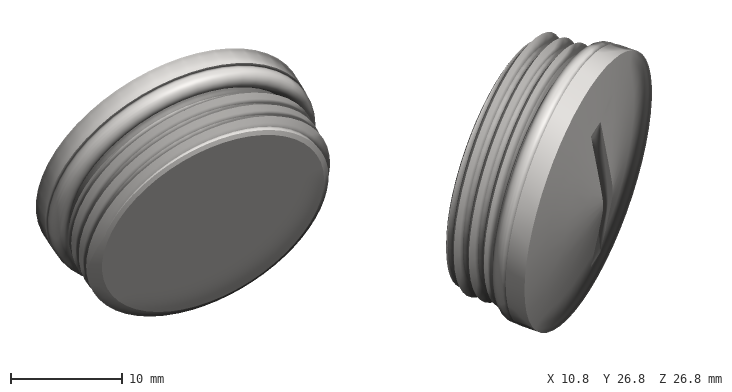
import cadquery as cq
import math

flange_diameter = 26.83
flange_radius = flange_diameter / 2
flange_thickness = 1.88
cone_height = 2.12
slot_width = 2.0
slot_half_length = 8.7
slot_floor_end_x = -0.75
slot_floor_middle_x = -0.35

neck_radius = 22.83 / 2
thread_start_x = 3.95
shank_end_x = 8.85
core_radius = 11.62
crest_radius = 12.48
thread_pitch = 1.5
flank_half_angle = 30.0
crest_at_plus_y_x = 4.48
lead_in_end_radius = 11.2
lead_in_angle = 65.0
helix_start_angle = 120.0
thread_root_embed = 0.1

ring_section_radius = 0.98
ring_right_x = 3.55
ring_center_x = ring_right_x - ring_section_radius
ring_center_radius = neck_radius + ring_section_radius


def revolve_about_x(points):
    """Revolve a closed (x, radius) outline around the X axis."""
    return cq.Workplane("XY").polyline(points).close().revolve(360, (0, 0, 0), (1, 0, 0))


def make_sealing_ring():
    return (
        cq.Workplane("XY")
        .center(ring_center_x, ring_center_radius)
        .circle(ring_section_radius)
        .revolve(360, (0, -ring_center_radius, 0), (1, -ring_center_radius, 0))
    )


def make_head():
    """Cone, flange and neck."""
    return revolve_about_x([
        (-cone_height, 0),
        (0, flange_radius),
        (flange_thickness, flange_radius),
        (flange_thickness, neck_radius),
        (thread_start_x, neck_radius),
        (thread_start_x, 0),
    ])


def lead_in_length(radius):
    """Axial length of the lead-in chamfer from the given radius to the shank end."""
    return (radius - lead_in_end_radius) / math.tan(math.radians(lead_in_angle))


def make_threaded_shank():
    """Right-hand V thread on its core, cut square at the neck and by the lead-in at the end."""
    root_radius = core_radius - thread_root_embed
    half_width = (crest_radius - root_radius) * math.tan(math.radians(flank_half_angle))
    first_crest_x = crest_at_plus_y_x + (helix_start_angle / 360 - 2) * thread_pitch
    helix_length = shank_end_x + thread_pitch - first_crest_x
    helix = cq.Wire.makeHelix(thread_pitch, helix_length, root_radius)
    ridge = (
        cq.Workplane("XZ")
        .polyline([(root_radius, -half_width), (crest_radius, 0), (root_radius, half_width)])
        .close()
        .sweep(cq.Workplane(obj=helix), isFrenet=True)
        .rotate((0, 0, 0), (1, 1, 1), 120)
        .rotate((0, 0, 0), (1, 0, 0), helix_start_angle)
        .translate((first_crest_x, 0, 0))
    )
    core = (
        cq.Workplane("YZ")
        .workplane(offset=first_crest_x - thread_pitch)
        .circle(core_radius)
        .extrude(helix_length + 2 * thread_pitch)
    )
    envelope = revolve_about_x([
        (thread_start_x, 0),
        (thread_start_x, flange_radius),
        (shank_end_x - lead_in_length(flange_radius), flange_radius),
        (shank_end_x, lead_in_end_radius),
        (shank_end_x, 0),
    ])
    return core.union(ridge).intersect(envelope)


def make_driver_slot():
    """Slot along Z across the cone, with a shallow arc floor that is deepest in the middle."""
    return (
        cq.Workplane("XZ")
        .moveTo(-cone_height, -slot_half_length)
        .lineTo(slot_floor_end_x, -slot_half_length)
        .threePointArc((slot_floor_middle_x, 0), (slot_floor_end_x, slot_half_length))
        .lineTo(-cone_height, slot_half_length)
        .close()
        .extrude(slot_width / 2, both=True)
    )


sealing_ring = make_sealing_ring()
plug = make_head().union(make_threaded_shank()).cut(make_driver_slot()).cut(sealing_ring)

result = cq.Compound.makeCompound([*plug.solids().vals(), sealing_ring.val()])